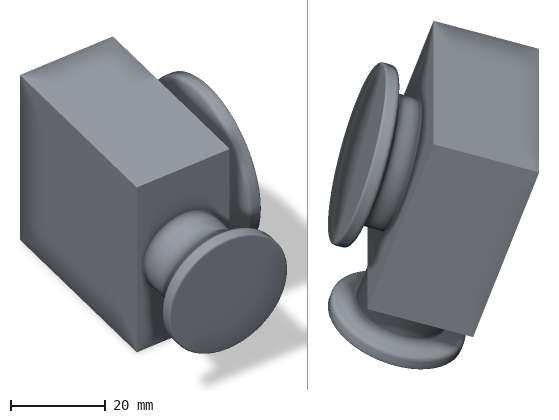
import cadquery as cq
import math

body_x = 45.0
body_y = 23.5
body_z = 45.0

side_rim_diameter = 30.0
side_neck_diameter = 20.0
side_length = 17.5

rear_rim_diameter = 40.0
rear_neck_diameter = 29.0
rear_length = 9.75

rim_thickness = 3.0
cone_angle = 15.0
face_edge_radius = 0.5
rim_back_radius = 1.0
neck_radius = 0.5
base_radius = 0.3


def ring_edge(solid, radius, height):
    """Select the circular edge of the given radius and height about the Z axis."""
    margin = 0.01
    reach = radius + margin
    return solid.edges(
        cq.selectors.BoxSelector(
            (-reach, -reach, height - margin),
            (reach, reach, height + margin),
            boundingbox=True,
        )
    )


def make_port(rim_diameter, neck_diameter, length):
    """Neck and conical clamp flange standing on the XY plane, pointing along +Z."""
    rim_r = rim_diameter / 2
    neck_r = neck_diameter / 2
    rim_back = length - rim_thickness
    cone_start = rim_back - (rim_r - neck_r) * math.tan(math.radians(cone_angle))

    profile = (
        cq.Workplane("XZ")
        .polyline([(0, 0), (neck_r, 0), (neck_r, cone_start), (rim_r, rim_back), (rim_r, length), (0, length)])
        .close()
    )
    port = profile.revolve(360, (0, 0, 0), (0, 1, 0))
    port = ring_edge(port, rim_r, length).fillet(face_edge_radius)
    port = ring_edge(port, rim_r, rim_back).fillet(rim_back_radius)
    port = ring_edge(port, neck_r, cone_start).fillet(neck_radius)
    return port.union(make_base_fillet(neck_r))


def make_base_fillet(neck_r):
    """Disc with a concave rim that blends the neck into the body face."""
    outer_r = neck_r + base_radius
    arc_reach = base_radius * (1 - math.sqrt(0.5))
    return (
        cq.Workplane("XZ")
        .lineTo(outer_r, 0)
        .threePointArc((neck_r + arc_reach, arc_reach), (neck_r, base_radius))
        .lineTo(0, base_radius)
        .close()
        .revolve(360, (0, 0, 0), (0, 1, 0))
    )


body = cq.Workplane("XY").box(body_x, body_y, body_z, centered=False)

side_port = (
    make_port(side_rim_diameter, side_neck_diameter, side_length)
    .rotate((0, 0, 0), (0, 1, 0), 90)
    .translate((body_x, body_y / 2, body_z / 2))
)

rear_port = (
    make_port(rear_rim_diameter, rear_neck_diameter, rear_length)
    .rotate((0, 0, 0), (1, 0, 0), -90)
    .translate((body_x / 2, body_y, body_z / 2))
)

result = body.union(side_port).union(rear_port)